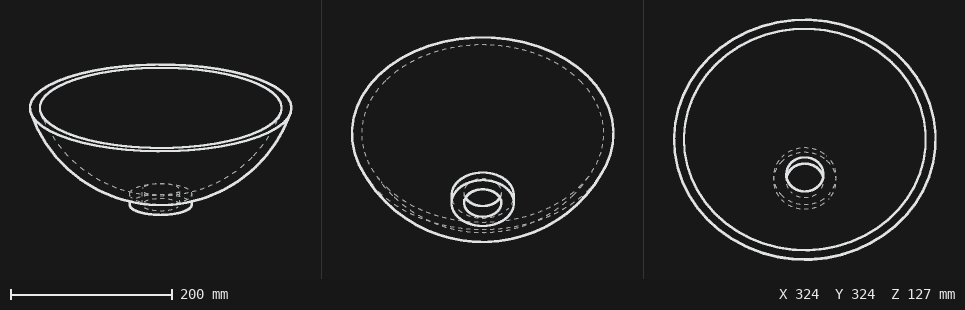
import cadquery as cq
import math

rim_diameter = 324
rim_radius = rim_diameter / 2
height = 127.0
rim_width = 12.3

collar_radius = 77.0 / 2
collar_length = 14.0
hole_radius = 46.0 / 2
countersink_radius = 65.5 / 2
countersink_depth = 5.0

collar_top_depth = height - collar_length
center_height = (rim_radius**2 - collar_radius**2 - collar_top_depth**2) / (2 * collar_top_depth)
outer_sphere_radius = math.hypot(rim_radius, center_height)

inner_rim_radius = rim_radius - rim_width
inner_sphere_radius = math.hypot(inner_rim_radius, center_height)


def sphere_point(sphere_radius, radius):
    """Point (radius, z) on the lower half of a bowl sphere."""
    return radius, center_height - math.sqrt(sphere_radius**2 - radius**2)


def arc_middle(sphere_radius, inner_radius, outer_radius):
    """Point on a bowl sphere between two radii."""
    return sphere_point(sphere_radius, (inner_radius + outer_radius) / 2)


countersink_edge = sphere_point(inner_sphere_radius, countersink_radius)
countersink_bottom = (hole_radius, countersink_edge[1] - countersink_depth)

section = (
    cq.Workplane("XZ")
    .moveTo(hole_radius, -height)
    .lineTo(collar_radius, -height)
    .lineTo(collar_radius, -collar_top_depth)
    .threePointArc(arc_middle(outer_sphere_radius, collar_radius, rim_radius), (rim_radius, 0))
    .lineTo(inner_rim_radius, 0)
    .threePointArc(
        arc_middle(inner_sphere_radius, countersink_radius, inner_rim_radius),
        countersink_edge,
    )
    .lineTo(*countersink_bottom)
    .close()
)

result = section.revolve(360, (0, 0, 0), (0, 1, 0))